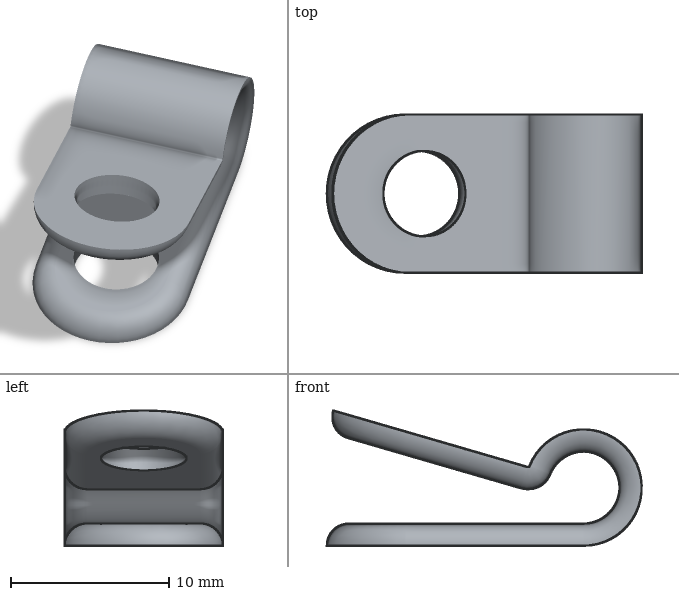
import cadquery as cq
import math

length = 19.9
width = 10.0
height = 8.55

thickness = 1.41
half_width = width / 2
inner_half_width = half_width - thickness
round_mid = thickness * math.sin(math.radians(45))

loop_radius = 3.68
loop_center_x = length - loop_radius
loop_end_angle = 158.2
loop_sweep = loop_end_angle + 90

arm_tilt = 16.2
bend_radius = 0.1
bend_sweep = loop_end_angle + arm_tilt - 90
bend_center_distance = loop_radius + bend_radius
bend_center_x = loop_center_x + bend_center_distance * math.cos(math.radians(loop_end_angle))
bend_center_z = loop_radius + bend_center_distance * math.sin(math.radians(loop_end_angle))
arm_start_x = bend_center_x - bend_radius * math.sin(math.radians(arm_tilt))
arm_start_z = bend_center_z - bend_radius * math.cos(math.radians(arm_tilt))
arm_rise = height - arm_start_z
arm_length = arm_rise / math.sin(math.radians(arm_tilt))
arm_tip_x = arm_start_x - arm_length * math.cos(math.radians(arm_tilt))

hole_diameter = 5.4
hole_from_tip = 6.0


def strip_section(x=0):
    """Cross-section across Y at the given X: outer face at Z = 0, inner face up."""
    return (
        cq.Workplane("YZ", origin=(x, 0, 0))
        .moveTo(-half_width, 0)
        .lineTo(half_width, 0)
        .threePointArc((inner_half_width + round_mid, round_mid), (inner_half_width, thickness))
        .lineTo(-inner_half_width, thickness)
        .threePointArc((-inner_half_width - round_mid, round_mid), (-half_width, 0))
        .close()
    )


def leg(leg_length):
    """Flat leg along +X with its round tip at the origin, inner face up, and a screw hole."""
    straight = strip_section(half_width).extrude(leg_length - half_width)
    tip = (
        cq.Workplane("XZ")
        .lineTo(half_width, 0)
        .lineTo(half_width, thickness)
        .lineTo(thickness, thickness)
        .threePointArc((thickness - round_mid, round_mid), (0, 0))
        .close()
        .revolve(360, (half_width, 0), (half_width, 1))
    )
    hole = cq.Workplane("XY").center(hole_from_tip, 0).circle(hole_diameter / 2).extrude(thickness)
    return straight.union(tip).cut(hole)


def curved_strip(x, axis_height, sweep):
    """Strip bent from the given X about an axis parallel to Y at the given height."""
    return strip_section(x).revolve(sweep, (0, axis_height), (-1, axis_height))


base = leg(loop_center_x)
loop = curved_strip(loop_center_x, loop_radius, loop_sweep)

bend = (
    curved_strip(0, -bend_radius, bend_sweep)
    .translate((0, 0, bend_radius))
    .rotate((0, 0, 0), (0, -1, 0), 180 - arm_tilt)
    .translate((bend_center_x, 0, bend_center_z))
)

arm = (
    leg(arm_length)
    .rotate((0, 0, 0), (1, 0, 0), 180)
    .rotate((0, 0, 0), (0, 1, 0), arm_tilt)
    .translate((arm_tip_x, 0, height))
)

result = base.union(loop).union(bend).union(arm)